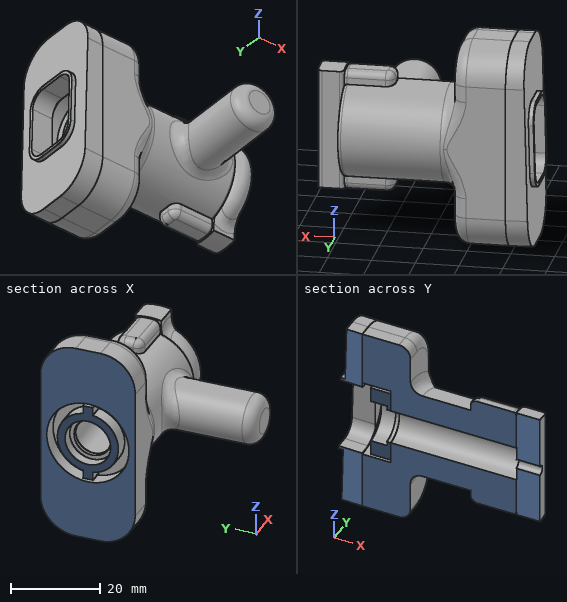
import cadquery as cq
import math


flange_width = 23.2
flange_height = 48.4
flange_corner_radius = 8.55
flange_center_z = -0.45
flange_thickness = 12.05

blend_radius = 2.95
barrel_diameter = 22.75
barrel_end_x = 38.45
barrel_end_fillet = 0.7
bore_diameter = 8.8
recess_diameter = 19.9
recess_depth = 7.05

stem_diameter = 12.0
stem_x = 28.25
stem_end_y = -32.55

rib_start_x = 26.95
rib_width = 6.25
rib_corner_radius = 2.05
rib_top_fillet = 1.75
rib_outer_radius = 14.35

face_tilt = 1.44
plate_thickness = 4.65
collar_width = 14.95
collar_height = 20.2
collar_corner_radius = 4.45
collar_height_above_face = 1.1
collar_wall = 0.85

bushing_front_x = 2.05
bushing_diameter = 14.95
bushing_bore_diameter = 8.9
bushing_counterbore_diameter = 11.0
bushing_counterbore_depth = 4.05
lug_width = 2.4
lug_span = 18.75

knob_end_x = 44.4
knob_bar_front_y = -3.2
knob_bar_back_y = 3.45
knob_bar_fillet = 0.95
knob_hole_diameter = 2.4
grip_radius = barrel_diameter / 2


def x_cylinder(diameter, start_x, end_x):
    """Solid cylinder on the barrel axis."""
    plane = cq.Workplane("YZ", origin=(start_x, 0, 0))
    return plane.circle(diameter / 2).extrude(end_x - start_x)


def rounded_block(plane, width, height, corner_radius, start, end):
    """Rounded rectangle extruded along the plane normal from start to end."""
    block = plane.workplane(offset=start).rect(width, height).extrude(end - start)
    return block.edges(cq.selectors.ParallelDirSelector(plane.plane.zDir)).fillet(corner_radius)


def make_flange():
    plane = cq.Workplane("YZ", origin=(0, 0, flange_center_z))
    return rounded_block(plane, flange_width, flange_height, flange_corner_radius, 0, flange_thickness)


def make_neck():
    """Concave flare from the barrel to the flange, trimmed to the flange width."""
    barrel_radius = barrel_diameter / 2
    flare_radius = barrel_radius + blend_radius
    flare_end_x = flange_thickness + blend_radius
    sag = blend_radius * (1 - math.sqrt(0.5))
    flare = (
        cq.Workplane("XY")
        .moveTo(0, 0)
        .lineTo(0, flare_radius)
        .lineTo(flange_thickness, flare_radius)
        .threePointArc((flange_thickness + sag, barrel_radius + sag), (flare_end_x, barrel_radius))
        .lineTo(flare_end_x, 0)
        .close()
        .revolve(360, (0, 0, 0), (1, 0, 0))
    )
    trim = cq.Workplane("XY").box(2 * flare_end_x, flange_width, 2 * flare_radius)
    return flare.intersect(trim)


def make_rib(side):
    """Rib on the top (side = 1) or bottom (side = -1) of the barrel."""
    length = barrel_end_x - rib_start_x
    rib = (
        cq.Workplane("XY")
        .box(length, rib_width, rib_outer_radius, centered=(False, True, False))
        .translate((rib_start_x, 0, 0))
        .edges("|Z and <X")
        .fillet(rib_corner_radius)
        .intersect(x_cylinder(2 * rib_outer_radius, rib_start_x, barrel_end_x))
    )
    return rib.faces("<X").edges(">Z").fillet(rib_top_fillet).rotate((0, 0, 0), (1, 0, 0), 90 - 90 * side)


def make_flange_with_neck():
    """Flange and neck with the whole back rim rounded, also where the flare cuts through it."""
    body = make_flange().union(make_neck())
    half_width = flange_width / 2
    margin = 0.05
    flare_sides = [
        cq.selectors.BoxSelector(
            (flange_thickness, side * half_width - margin, -half_width),
            (flange_thickness + blend_radius, side * half_width + margin, half_width),
        )
        for side in (-1, 1)
    ]
    flat_back_rim = cq.selectors.BoxSelector(
        (flange_thickness - margin, -flange_width, -flange_height),
        (flange_thickness + margin, flange_width, flange_height),
    )
    neck_circle = cq.selectors.RadiusNthSelector(-1)
    rim = (flat_back_rim - neck_circle) + flare_sides[0] + flare_sides[1]
    return body.edges(rim).fillet(blend_radius)


def make_barrel():
    barrel = x_cylinder(barrel_diameter, 0, barrel_end_x)
    for side in (1, -1):
        barrel = barrel.union(make_rib(side))
    barrel = barrel.faces(">X").edges().fillet(barrel_end_fillet)
    stem = (
        cq.Workplane("XZ", origin=(stem_x, 0, 0))
        .circle(stem_diameter / 2)
        .extrude(-stem_end_y)
        .faces("<Y")
        .edges()
        .fillet(blend_radius)
    )
    margin = 0.5
    barrel_radius = barrel_diameter / 2
    stem_root = cq.selectors.BoxSelector(
        (stem_x - stem_diameter, -barrel_radius - margin, -stem_diameter),
        (stem_x + stem_diameter, -barrel_radius + blend_radius, stem_diameter),
    )
    return barrel.union(stem).edges(stem_root).fillet(blend_radius)


def make_housing():
    housing = make_barrel().union(make_flange_with_neck())
    recess = x_cylinder(recess_diameter, 0, recess_depth)
    bore = x_cylinder(bore_diameter, 0, barrel_end_x)
    return housing.cut(recess).cut(bore)


def make_face_plate():
    """Plate on the flange, square to its tilted front face, with a collar around the window."""
    tilt = math.radians(face_tilt)
    plane = cq.Workplane(
        cq.Plane((0, 0, flange_center_z), (0, -1, 0), (-math.cos(tilt), 0, math.sin(tilt)))
    )
    overlap = 1.5
    plate = rounded_block(
        plane, flange_width, flange_height, flange_corner_radius, -overlap, plate_thickness
    )
    collar_front = plate_thickness + collar_height_above_face
    collar = rounded_block(plane, collar_width, collar_height, collar_corner_radius, -overlap, collar_front)
    window = rounded_block(
        plane,
        collar_width - 2 * collar_wall,
        collar_height - 2 * collar_wall,
        collar_corner_radius - collar_wall,
        -overlap,
        collar_front,
    )
    behind_joint = cq.Workplane("XY").box(
        2 * overlap, 2 * flange_width, 2 * flange_height, centered=(False, True, True)
    )
    return plate.union(collar).cut(window).cut(behind_joint)


def make_bushing():
    """Counterbored ring seated on the recess floor, with a lug at the top and bottom."""
    length = recess_depth - bushing_front_x
    lugs = (
        cq.Workplane("XY")
        .box(length, lug_width, lug_span, centered=(False, True, True))
        .translate((bushing_front_x, 0, 0))
    )
    ring = x_cylinder(bushing_diameter, bushing_front_x, recess_depth)
    bore = x_cylinder(bushing_bore_diameter, bushing_front_x, recess_depth)
    counterbore_end_x = bushing_front_x + bushing_counterbore_depth
    counterbore = x_cylinder(bushing_counterbore_diameter, bushing_front_x, counterbore_end_x)
    return ring.union(lugs).cut(bore).cut(counterbore)


def make_knob():
    """Cross bar with a half-round grip on its front side."""
    thickness = knob_end_x - barrel_end_x
    bar = (
        cq.Workplane("XY")
        .box(
            thickness,
            knob_bar_back_y - knob_bar_front_y,
            3 * rib_outer_radius,
            centered=(False, False, True),
        )
        .translate((barrel_end_x, knob_bar_front_y, 0))
        .edges("|Z and >Y")
        .fillet(knob_bar_fillet)
        .intersect(x_cylinder(2 * rib_outer_radius, barrel_end_x, knob_end_x))
    )
    rim_radius = thickness / 2
    rim_center_y = rim_radius - grip_radius
    behind_bar_front = cq.Workplane("XY").box(
        2 * knob_end_x, 2 * grip_radius, 2 * grip_radius, centered=(True, False, True)
    )
    grip = (
        cq.Workplane("XY")
        .moveTo(barrel_end_x, 0)
        .lineTo(barrel_end_x, rim_center_y)
        .threePointArc((barrel_end_x + rim_radius, -grip_radius), (knob_end_x, rim_center_y))
        .lineTo(knob_end_x, 0)
        .close()
        .revolve(360, (0, 0, 0), (1, 0, 0))
        .cut(behind_bar_front.translate((0, knob_bar_front_y, 0)))
    )
    margin = 0.05
    foot_reach = grip_radius + margin
    grip_feet = cq.selectors.BoxSelector(
        (barrel_end_x + margin, knob_bar_front_y - margin, -foot_reach),
        (knob_end_x - margin, knob_bar_front_y + margin, foot_reach),
    )
    knob = bar.union(grip).edges(grip_feet).fillet(blend_radius)
    return knob.cut(x_cylinder(knob_hole_diameter, barrel_end_x, knob_end_x))


face_plate = make_face_plate()
housing = make_housing()
bushing = make_bushing()
knob = make_knob()

bodies = [face_plate, housing, bushing, knob]
result = cq.Compound.makeCompound([body.solids().val() for body in bodies])